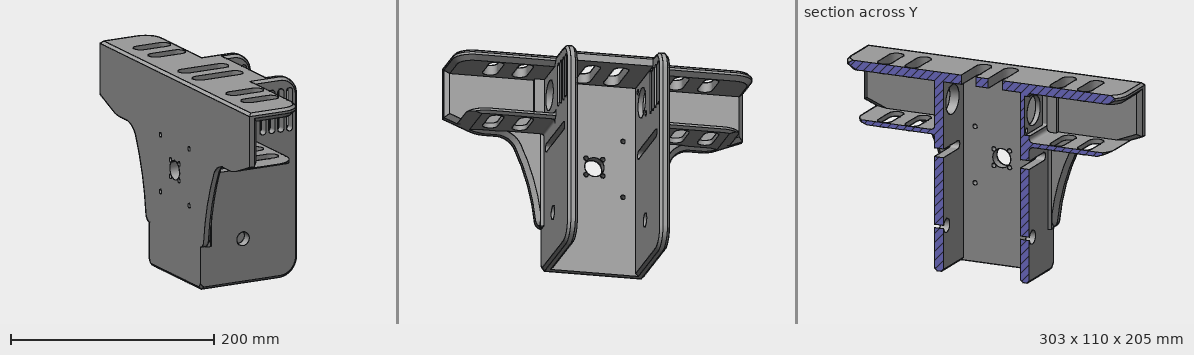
import cadquery as cq
TOTAL_WIDTH = 303.0
TOTAL_DEPTH = 110.0
TOTAL_HEIGHT = 205.0
HALF_WIDTH = TOTAL_WIDTH / 2

WALL = 10.0
OUTER_CHAMFER = 2.75
INNER_CHAMFER = 4.7
CORNER_RADIUS = 20.0
BODY_WIDTH = 103.5
HALF_BODY = BODY_WIDTH / 2
WING_DEPTH = 60.3
CENTER_DEPTH = 80.4

WING_TIP_Z = 150.3
WING_BOTTOM_Z = 137.0
WING_FLAT_OUTER_X = 118.0
WING_FLAT_INNER_X = 95.5
WING_BEND_RADIUS = 40.0
SHOULDER_MID = (-86.4, 133.6)
SHOULDER_END = (-79.2, 125.8)
FLANK_MID = (-65.9, 90.0)
FLANK_END = (-58.5, 51.0)
FLANK_FOOT_MID = (-56.3, 46.5)
STEP_Z = 44.0

SHELF_TOP_Z = 145.0
SHELF_THICKNESS = 5.0
SHELF_FILLET = 4.0

CORNER_WEDGE = 2.8
PAD_WIDTH = 10.0
PAD_THICKNESS = 4.7

WING_SLOT_CENTERS_X = (79.0, 109.0)
WING_SLOT_LENGTH = 40.0
WING_SLOT_WIDTH = 15.0
WING_SLOT_Y = 35.0
CENTER_SLOT_X = 14.5
CENTER_SLOT_LENGTH = 55.0
CENTER_SLOT_WIDTH = 15.5
CENTER_SLOT_Y = 40.2

BORE_Z = 110.0
BORE_DIAMETER = 19.5
SMALL_PATTERN = 17.0
LARGE_PATTERN = 58.0
SCREW_DIAMETER = 4.5

VENT_COUNT = 4
VENT_FIRST_Y = 70.7
VENT_PITCH = 10.0
VENT_WIDTH = 6.8
VENT_LENGTH = 44.3
VENT_Z = 171.3
CABLE_SLOT_Y = 57.2
CABLE_SLOT_Z = 121.8
CABLE_SLOT_LENGTH = 78.0
CABLE_SLOT_WIDTH = 8.5
PIVOT_Y = 48.2
PIVOT_Z = 46.0
PIVOT_DIAMETER = 14.0

SEAT_Y = 35.0
SEAT_Z = 172.0
SEAT_SIZE = 41.0
SEAT_DEPTH = 5.0
SEAT_CORNER_RADIUS = 2.0
SEAT_BORE = 30.2
SEAT_SCREW_PITCH = 32.6
SEAT_SCREW_DIAMETER = 5.0


def box(x_range, y_range, z_range):
    """Box between two limits along each axis."""
    (x0, x1), (y0, y1), (z0, z1) = x_range, y_range, z_range
    return cq.Workplane("XY").box(x1 - x0, y1 - y0, z1 - z0, centered=False).translate((x0, y0, z0))


def with_mirror(solid):
    """The solid joined with its mirror image across X = 0."""
    return solid.union(solid.mirror("YZ"))


def along_y(shape_length):
    """XZ workplane at Y = shape_length, whose extrusion by shape_length ends at Y = 0."""
    return cq.Workplane("XZ", origin=(0, shape_length, 0))


def front_wing():
    """Left half of the winged front plate, bevelled behind along its end and its curved flank."""
    plate = (
        along_y(WALL)
        .moveTo(0, TOTAL_HEIGHT - OUTER_CHAMFER)
        .lineTo(-HALF_WIDTH, TOTAL_HEIGHT - OUTER_CHAMFER)
        .lineTo(-HALF_WIDTH, WING_TIP_Z)
        .lineTo(-WING_FLAT_OUTER_X, WING_BOTTOM_Z)
        .lineTo(-WING_FLAT_INNER_X, WING_BOTTOM_Z)
        .threePointArc(SHOULDER_MID, SHOULDER_END)
        .threePointArc(FLANK_MID, FLANK_END)
        .threePointArc(FLANK_FOOT_MID, (-HALF_BODY, STEP_Z))
        .lineTo(0, STEP_Z)
        .close()
        .extrude(WALL)
    )
    inner_rim = plate.faces(">Y").edges("not(>X or >Z or <Z)").sort(lambda edge: -edge.Length())
    plate = inner_rim.chamfer(INNER_CHAMFER)
    bend = cq.selectors.NearestToPointSelector((-WING_FLAT_OUTER_X, WALL / 2, WING_BOTTOM_Z))
    return plate.edges(bend).fillet(WING_BEND_RADIUS)


def front_tongue():
    """Straight lower part of the front plate, with its bottom front edge chamfered."""
    tongue = box((-HALF_BODY + WALL / 2, HALF_BODY - WALL / 2), (0, WALL), (0, TOTAL_HEIGHT - WALL))
    return tongue.edges("<Y and <Z").chamfer(OUTER_CHAMFER)


def top_plate():
    """Top plate: wide in front, with a deeper middle portion between the side plates."""
    wings = (
        box((-HALF_WIDTH, HALF_WIDTH), (0, WING_DEPTH), (TOTAL_HEIGHT - WALL, TOTAL_HEIGHT))
        .edges("|Z and >Y")
        .fillet(CORNER_RADIUS)
    )
    wings = wings.faces(">Z").edges().chamfer(OUTER_CHAMFER)
    wings = wings.faces("<Z").edges("not <Y").chamfer(INNER_CHAMFER)
    half_center = HALF_BODY - WALL / 2
    center = box((-half_center, half_center), (WALL, CENTER_DEPTH), (TOTAL_HEIGHT - WALL, TOTAL_HEIGHT))
    return wings.union(center.edges(">Y and >Z").chamfer(OUTER_CHAMFER))


def side_plate():
    """Left side plate with rounded rear corners and chamfered edges."""
    plate = (
        box((-HALF_BODY, -HALF_BODY + WALL), (0, TOTAL_DEPTH), (0, TOTAL_HEIGHT))
        .edges("|X and >Y")
        .fillet(CORNER_RADIUS)
    )
    front_bevelled = plate.edges("|X and <Y").chamfer(OUTER_CHAMFER)
    rims = front_bevelled.faces("<X or >X").edges("not(<Y)")
    return rims.chamfer(OUTER_CHAMFER)


def shelf():
    """Left shelf, cut off below by the slope of the wing and blended into the side plate."""
    bottom_z = SHELF_TOP_Z - SHELF_THICKNESS
    slope = (WING_TIP_Z - WING_BOTTOM_Z) / (HALF_WIDTH - WING_FLAT_OUTER_X)
    end_x = WING_FLAT_OUTER_X + (SHELF_TOP_Z - WING_BOTTOM_Z) / slope
    knee_x = WING_FLAT_OUTER_X + (bottom_z - WING_BOTTOM_Z) / slope
    plan = (
        box((-end_x, -HALF_BODY), (0, WING_DEPTH), (bottom_z, SHELF_TOP_Z))
        .edges("|Z and <X and >Y")
        .fillet(CORNER_RADIUS)
    )
    section = (
        along_y(WING_DEPTH)
        .moveTo(-end_x, SHELF_TOP_Z)
        .lineTo(-HALF_BODY, SHELF_TOP_Z)
        .lineTo(-HALF_BODY, bottom_z)
        .lineTo(-knee_x, bottom_z)
        .close()
        .extrude(WING_DEPTH)
    )
    return (
        plan.intersect(section)
        .edges(">Y and <Z")
        .chamfer(OUTER_CHAMFER)
        .union(shelf_blend(SHELF_TOP_Z, SHELF_FILLET, WING_DEPTH))
        .union(shelf_blend(bottom_z, -SHELF_FILLET, WING_DEPTH - OUTER_CHAMFER))
    )


def shelf_blend(z, rise, depth):
    """Concave round fillet between a shelf face at height z and the left side plate."""
    radius = abs(rise)
    square = box((-HALF_BODY - radius, -HALF_BODY), (0, depth), (min(z, z + rise), max(z, z + rise)))
    roll = along_y(depth).center(-HALF_BODY - radius, z + rise).circle(radius).extrude(depth)
    return square.cut(roll)


def inside_corner():
    """Pad above the left shelf and wedge below it, where the front plate meets the side plate."""
    pad = box(
        (-HALF_BODY - PAD_WIDTH, -HALF_BODY),
        (WALL - INNER_CHAMFER, WALL + PAD_THICKNESS),
        (SHELF_TOP_Z, TOTAL_HEIGHT - WALL),
    )
    wedge = (
        cq.Workplane("XY", origin=(0, 0, STEP_Z))
        .moveTo(-HALF_BODY, WALL - INNER_CHAMFER)
        .lineTo(-HALF_BODY, WALL + CORNER_WEDGE)
        .lineTo(-HALF_BODY - CORNER_WEDGE, WALL)
        .lineTo(-HALF_BODY - CORNER_WEDGE, WALL - INNER_CHAMFER)
        .close()
        .extrude(SHELF_TOP_Z - SHELF_THICKNESS - STEP_Z)
    )
    return pad.union(wedge)


def top_slots():
    """Slots through the top plate; the ones in the wings also pass through the shelves."""
    wing_points = [(side * x, WING_SLOT_Y) for side in (-1, 1) for x in WING_SLOT_CENTERS_X]
    center_points = [(side * CENTER_SLOT_X, CENTER_SLOT_Y) for side in (-1, 1)]
    wing = (
        cq.Workplane("XY")
        .pushPoints(wing_points)
        .slot2D(WING_SLOT_LENGTH, WING_SLOT_WIDTH, 90)
        .extrude(TOTAL_HEIGHT)
    )
    center = (
        cq.Workplane("XY")
        .pushPoints(center_points)
        .slot2D(CENTER_SLOT_LENGTH, CENTER_SLOT_WIDTH, 90)
        .extrude(TOTAL_HEIGHT)
    )
    return wing.union(center)


def front_holes():
    """Central bore of the front plate and two square patterns of screw holes around it."""
    plane = along_y(TOTAL_DEPTH).center(0, BORE_Z)
    holes = plane.circle(BORE_DIAMETER / 2).extrude(TOTAL_DEPTH)
    for pitch in (SMALL_PATTERN, LARGE_PATTERN):
        screws = plane.rect(pitch, pitch, forConstruction=True).vertices().circle(SCREW_DIAMETER / 2)
        holes = holes.union(screws.extrude(TOTAL_DEPTH))
    return holes


def side_openings():
    """Vents, cable slot, pivot hole and seat bore, all passing through both side plates."""
    plane = cq.Workplane("YZ", origin=(-HALF_BODY, 0, 0))
    vents = [(VENT_FIRST_Y + i * VENT_PITCH, VENT_Z) for i in range(VENT_COUNT)]
    openings = plane.pushPoints(vents).slot2D(VENT_LENGTH, VENT_WIDTH, 90).extrude(BODY_WIDTH)
    cable_slot = (
        plane.center(CABLE_SLOT_Y, CABLE_SLOT_Z)
        .slot2D(CABLE_SLOT_LENGTH, CABLE_SLOT_WIDTH)
        .extrude(BODY_WIDTH)
    )
    pivot = plane.center(PIVOT_Y, PIVOT_Z).circle(PIVOT_DIAMETER / 2).extrude(BODY_WIDTH)
    bore = plane.center(SEAT_Y, SEAT_Z).circle(SEAT_BORE / 2).extrude(BODY_WIDTH)
    return openings.union(cable_slot).union(pivot).union(bore)


def seat():
    """Square recess in the left side plate with two diagonal screw holes."""
    plane = cq.Workplane("YZ", origin=(-HALF_BODY, 0, 0)).center(SEAT_Y, SEAT_Z)
    recess = plane.rect(SEAT_SIZE, SEAT_SIZE).extrude(SEAT_DEPTH).edges("|X").fillet(SEAT_CORNER_RADIUS)
    offset = SEAT_SCREW_PITCH / 2
    screws = plane.pushPoints([(-offset, offset), (offset, -offset)]).circle(SEAT_SCREW_DIAMETER / 2)
    return recess.union(screws.extrude(WALL))


body = with_mirror(front_wing()).union(front_tongue()).union(top_plate())
body = body.union(with_mirror(side_plate())).union(with_mirror(shelf()))
body = body.union(with_mirror(inside_corner()))
result = body.cut(top_slots()).cut(front_holes()).cut(side_openings()).cut(seat())